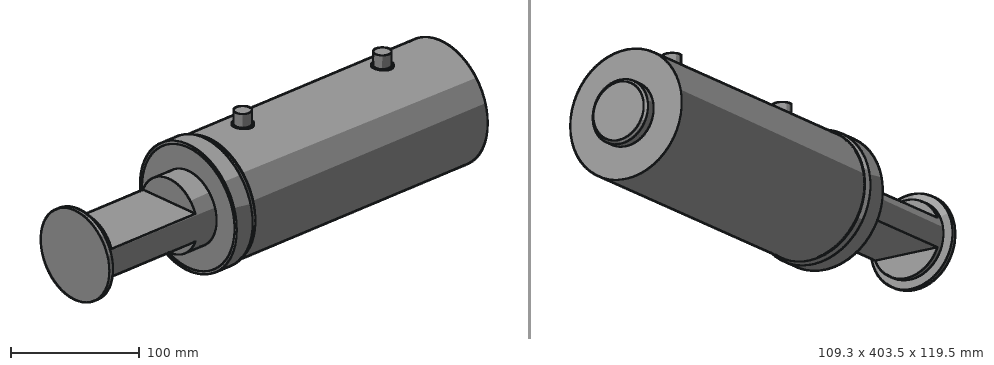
import cadquery as cq

total_length = 403.5

barrel_radius = 53.0
plug_radius = 26.2
plug_length = 10.0
plug_chamfer = 2.5
barrel_rear = total_length - plug_length
port_radius = 7.3
port_collar_radius = 9.0
port_collar_top = barrel_radius
port_root = 40.5
port_places = (180.3, 330.5)

collar_diameter = 109.3
collar_radius = collar_diameter / 2
housing_front = 121.8
collar_rear = 143.5
collar_taper_length = 5.0

overall_height = 119.5
port_top = overall_height - collar_radius

gland_radius = 52.0
gland_rear = collar_rear

rod_radius = 32.0
disc_radius = 38.7
disc_thickness = 4.0
disc_cone_length = 2.5
flat_start = 11.3
flat_end = 101.2
flat_thickness = 24.0


def revolve_profile(points):
    """Turn a (radius, Y) outline around the Y axis."""
    return cq.Workplane("XY").polyline(points).close().revolve(360, (0, 0), (0, 1))


def upright_cylinder(radius, y, bottom, top):
    """Vertical cylinder standing on the XZ symmetry line at the given Y."""
    return cq.Workplane("XY", origin=(0, y, bottom)).circle(radius).extrude(top - bottom)


def make_housing():
    """Barrel closed by the rear plug, open at the front for the gland, with two ports on top."""
    housing = revolve_profile([
        (0, gland_rear),
        (gland_radius, gland_rear),
        (gland_radius, housing_front),
        (collar_radius, housing_front),
        (collar_radius, collar_rear - collar_taper_length),
        (barrel_radius, collar_rear),
        (barrel_radius, barrel_rear),
        (plug_radius, barrel_rear),
        (plug_radius, total_length - plug_chamfer),
        (plug_radius - plug_chamfer, total_length),
        (0, total_length),
    ])
    for y in port_places:
        housing = housing.union(upright_cylinder(port_collar_radius, y, port_root, port_collar_top))
        housing = housing.union(upright_cylinder(port_radius, y, port_root, port_top))
    return housing


def make_gland():
    """Ring that fills the space between the rod and the housing, flush with the front face."""
    return revolve_profile([
        (rod_radius, housing_front),
        (gland_radius, housing_front),
        (gland_radius, gland_rear),
        (rod_radius, gland_rear),
    ])


def make_rod():
    rod = revolve_profile([
        (0, 0),
        (disc_radius, 0),
        (disc_radius, disc_thickness),
        (rod_radius, disc_thickness + disc_cone_length),
        (rod_radius, gland_rear),
        (0, gland_rear),
    ])
    flat_length = flat_end - flat_start
    cut_depth = rod_radius - flat_thickness / 2
    cut_offset = (rod_radius + flat_thickness / 2) / 2
    for side in (-1, 1):
        cutter = cq.Workplane("XY").box(2 * rod_radius, flat_length, cut_depth)
        rod = rod.cut(cutter.translate((0, (flat_start + flat_end) / 2, side * cut_offset)))
    return rod


housing = make_housing()
gland = make_gland()
rod = make_rod()

result = cq.Compound.makeCompound([housing.val(), gland.val(), rod.val()])